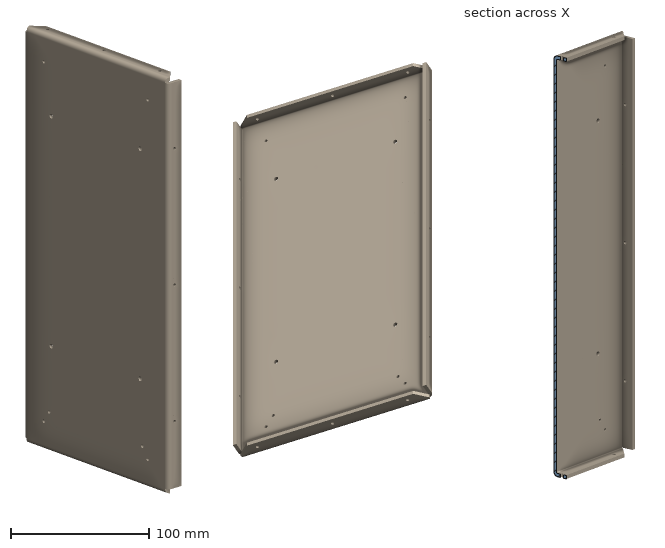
import cadquery as cq

width = 155.0
depth = 13.0
height = 320.0
sheet = 3.0
inner_radius = 0.8
bend_radius = inner_radius + sheet

side_flange_length = 312.3

end_flange_depth = 12.0
fold_half_start = 74.2
fold_half_end = 75.5
tip_half_width = 66.5

small_hole = 2.45
screw_hole = 2.5
mount_hole = 3.5
corner_hole_x = 55.7
corner_hole_z = 138.2
mount_hole_x = 47.7
mount_hole_top_z = 98.5
mount_hole_bottom_z = -78.5
lower_hole_x = 50.0
lower_hole_z = -129.5
end_hole_x = 60.0
end_hole_y = 7.7
side_hole_z = 105.0
side_hole_y = 6.5


def rounded_block(x_size, y_size, z_size, fold_edges, radius):
    """Block standing on Y = 0 with its two front edges rounded."""
    block = cq.Workplane("XY").box(x_size, y_size, z_size, centered=(True, False, True))
    return block.faces("<Y").edges(fold_edges).fillet(radius)


def side_channel():
    """Front wall with the two flanges folded back along the long sides."""
    outer = rounded_block(width, depth, side_flange_length, "|Z", bend_radius)
    inner = rounded_block(width - 2 * sheet, depth, side_flange_length, "|Z", inner_radius)
    return outer.cut(inner.translate((0, sheet, 0)))


def end_channel():
    """Front wall with the two flanges folded back along the top and bottom."""
    outer = rounded_block(width, end_flange_depth, height, "|X", bend_radius)
    inner = rounded_block(width, end_flange_depth, height - 2 * sheet, "|X", inner_radius)
    return outer.cut(inner.translate((0, sheet, 0))).intersect(end_flange_outline())


def end_flange_outline():
    """Solid whose XY outline limits the end folds and the mitred end flanges."""
    right = [
        (fold_half_start, 0),
        (fold_half_end, bend_radius),
        (tip_half_width, end_flange_depth),
    ]
    left = [(-x, y) for x, y in reversed(right)]
    return cq.Workplane("XY").polyline(right + left).close().extrude(height / 2, both=True)


def holes(plane, points, diameter, length):
    """Cylinders through the panel along the normal of the given plane."""
    return cq.Workplane(plane).pushPoints(points).circle(diameter / 2).extrude(length, both=True)


def mirrored(x, z):
    """Pair of points mirrored about the panel's vertical centreline."""
    return [(-x, z), (x, z)]


corner_points = mirrored(corner_hole_x, corner_hole_z) + mirrored(corner_hole_x, -corner_hole_z)
mount_points = mirrored(mount_hole_x, mount_hole_top_z) + mirrored(mount_hole_x, mount_hole_bottom_z)
lower_points = mirrored(lower_hole_x, lower_hole_z)
end_points = [(x, end_hole_y) for x in (-end_hole_x, 0, end_hole_x)]
side_points = [(side_hole_y, z) for z in (-side_hole_z, 0, side_hole_z)]

result = side_channel().union(end_channel())
result = result.cut(holes("XZ", corner_points, small_hole, depth))
result = result.cut(holes("XZ", mount_points, mount_hole, depth))
result = result.cut(holes("XZ", lower_points, screw_hole, depth))
result = result.cut(holes("XY", end_points, screw_hole, height))
result = result.cut(holes("YZ", side_points, screw_hole, width))